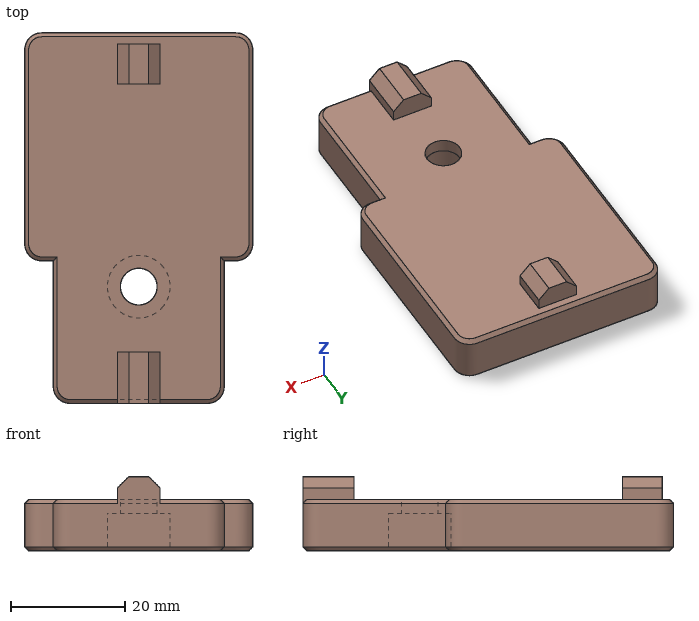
import cadquery as cq

head_width = 40.0
head_length = 40.0
tail_width = 30.0
tail_length = 25.0
plate_thickness = 9.0
corner_radius = 3.0
edge_chamfer = 0.7

key_width = 7.5
key_height = 4.0
key_chamfer = 2.0
tail_key_length = 9.0
head_key_length = 7.0
head_key_inset = 2.0

hole_diameter = 6.4
counterbore_diameter = 11.0
counterbore_depth = 6.5
hole_from_step = 4.5

head_end_y = head_length / 2
step_y = -head_length / 2
tail_end_y = step_y - tail_length


def make_plate():
    """Stepped plate with rounded outer corners and chamfered top and bottom rims."""
    half_head = head_width / 2
    half_tail = tail_width / 2
    plate = (
        cq.Workplane("XY")
        .polyline([
            (-half_head, head_end_y),
            (half_head, head_end_y),
            (half_head, step_y),
            (half_tail, step_y),
            (half_tail, tail_end_y),
            (-half_tail, tail_end_y),
            (-half_tail, step_y),
            (-half_head, step_y),
        ])
        .close()
        .extrude(plate_thickness)
    )
    inner_corners = cq.selectors.BoxSelector(
        (-half_tail - corner_radius / 2, step_y - corner_radius, 0),
        (half_tail + corner_radius / 2, step_y + corner_radius, plate_thickness),
    )
    outer_corners = cq.StringSyntaxSelector("|Z") - inner_corners
    plate = plate.edges(outer_corners).fillet(corner_radius)
    return plate.faces("<Z or >Z").edges().chamfer(edge_chamfer)


def make_key(start_y, length):
    """Key from start_y towards +Y, sunk through the rim chamfer, with two bevelled top edges."""
    return (
        cq.Workplane("XY")
        .box(key_width, length, key_height + edge_chamfer, centered=(True, False, False))
        .edges("|Y and >Z")
        .chamfer(key_chamfer)
        .translate((0, start_y, plate_thickness - edge_chamfer))
    )


def cut_screw_hole(body):
    """Through hole in the tail, counterbored from below."""
    hole_y = step_y - hole_from_step
    base = cq.Workplane("XY").center(0, hole_y)
    through_hole = base.circle(hole_diameter / 2).extrude(plate_thickness)
    counterbore = base.circle(counterbore_diameter / 2).extrude(counterbore_depth)
    return body.cut(through_hole).cut(counterbore)


tail_key = make_key(tail_end_y, tail_key_length)
head_key = make_key(head_end_y - head_key_inset - head_key_length, head_key_length)
result = cut_screw_hole(make_plate().union(tail_key).union(head_key))